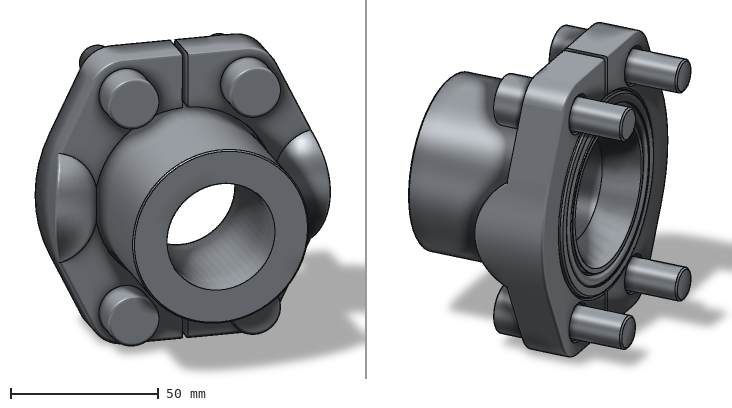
import cadquery as cq
import math


clamp_height = 102.0
clamp_width = 97.0
clamp_thickness = 16.0
clamp_gap = 1.9
edge_round = 1.0
bolt_y = 21.4
bolt_z = 38.9
side_radius = clamp_width / 2
corner_radius = clamp_height / 2 - bolt_z
hub_hole_radius = 63.8 / 2
seat_radius = 36.1
seat_depth = 9.1
seat_chamfer = 0.6

lobe_top = 26.1
lobe_radius = 24.5
lobe_end_round = 18.4
lobe_round_start = 46.9
lobe_axis_x = lobe_top - lobe_radius
lobe_root_sink = 1.7

bolt_diameter = 11.7
bolt_tip_x = -19.0
bolt_tip_chamfer = 0.6
head_diameter = 18.0
head_height = 11.8
head_edge_round = 1.0
bolt_hole_diameter = 13.0
bolt_hole_chamfer = 0.6

hub_front_x = -0.8
hub_end_x = 59.5
hub_radius = 62.0 / 2
hub_end_chamfer = 0.5
flange_radius = 71.4 / 2
flange_chamfer = 0.7
neck_round = 0.6
bore_radius = 38.0 / 2
mouth_radius = 50.7 / 2
mouth_depth = 11.5
groove_inner_radius = 54.9 / 2
groove_outer_radius = 63.8 / 2
face_edge_chamfer = 0.2

ring_section_radius = 1.8
ring_crown_x = -1.1


def clamp_outline():
    """Outline in the YZ plane: flat ends, rounded corners and bowed sides, every joint tangent."""
    corner_distance = math.hypot(bolt_y, bolt_z)
    slope = math.atan2(bolt_z, bolt_y) - math.acos((side_radius - corner_radius) / corner_distance)
    slope_y, slope_z = math.cos(slope), math.sin(slope)
    corner_mid = (slope + math.pi / 2) / 2

    side = (side_radius * slope_y, side_radius * slope_z)
    corner = (bolt_y + corner_radius * slope_y, bolt_z + corner_radius * slope_z)
    middle = (bolt_y + corner_radius * math.cos(corner_mid), bolt_z + corner_radius * math.sin(corner_mid))
    top = clamp_height / 2
    return (
        cq.Workplane("YZ")
        .moveTo(side[0], -side[1])
        .threePointArc((side_radius, 0), side)
        .lineTo(*corner)
        .threePointArc(middle, (bolt_y, top))
        .lineTo(-bolt_y, top)
        .threePointArc((-middle[0], middle[1]), (-corner[0], corner[1]))
        .lineTo(-side[0], side[1])
        .threePointArc((-side_radius, 0), (-side[0], -side[1]))
        .lineTo(-corner[0], -corner[1])
        .threePointArc((-middle[0], -middle[1]), (-bolt_y, -top))
        .lineTo(bolt_y, -top)
        .threePointArc((middle[0], -middle[1]), (corner[0], -corner[1]))
        .close()
    )


def x_cylinder(radius, start, end):
    return cq.Workplane("YZ", origin=(start, 0, 0)).circle(radius).extrude(end - start)


def box_from(corner, size):
    """Box spanning size from its lowest corner."""
    return cq.Workplane("XY").box(*size, centered=False).translate(corner)


def lobe():
    """Lobe on the +Y side: a drum along Y with a round inner end, trimmed to the clamp outline."""
    outer_y = side_radius + edge_round
    inner_y = lobe_round_start - lobe_end_round
    round_centre_x = lobe_top - lobe_end_round
    diagonal = lobe_end_round * math.sqrt(0.5)
    drum = (
        cq.Workplane("XY")
        .moveTo(lobe_axis_x, outer_y)
        .lineTo(lobe_top, outer_y)
        .lineTo(lobe_top, lobe_round_start)
        .threePointArc((round_centre_x + diagonal, lobe_round_start - diagonal), (round_centre_x, inner_y))
        .lineTo(lobe_axis_x, inner_y)
        .close()
        .revolve(360, (lobe_axis_x, 0, 0), (lobe_axis_x, 1, 0))
    )
    root_x = clamp_thickness - lobe_root_sink
    trim = clamp_outline().extrude(lobe_top).translate((root_x, 0, 0))
    trimmed = drum.intersect(trim)
    rim = [
        edge
        for edge in trimmed.edges().vals()
        if edge.geomType() == "BSPLINE" and edge.Center().x > root_x + edge_round
    ]
    return trimmed.newObject(rim).fillet(edge_round)


def clamp_half():
    """The half on the +Y side: plate and lobe, cut by the hub's seat and the bolt holes."""
    plate = clamp_outline().extrude(clamp_thickness).faces("<X or >X").edges().fillet(edge_round)
    body = plate.union(lobe())

    mouth = seat_radius + seat_chamfer
    stepped_hole = (
        cq.Workplane("XY")
        .moveTo(0, 0)
        .lineTo(0, mouth)
        .lineTo(seat_chamfer, seat_radius)
        .lineTo(seat_depth, seat_radius)
        .lineTo(seat_depth, hub_hole_radius)
        .lineTo(hub_end_x, hub_hole_radius)
        .lineTo(hub_end_x, 0)
        .close()
        .revolve(360, (0, 0, 0), (1, 0, 0))
    )
    body = body.cut(stepped_hole)

    hole_radius = bolt_hole_diameter / 2
    for z in (-bolt_z, bolt_z):
        hole = x_cylinder(hole_radius, 0, clamp_thickness)
        mouth_cone = cq.Solid.makeCone(
            hole_radius + bolt_hole_chamfer, hole_radius, bolt_hole_chamfer, dir=cq.Vector(1, 0, 0)
        )
        body = body.cut(hole.union(cq.Workplane(mouth_cone)).translate((0, bolt_y, z)))

    kept_side = box_from((0, clamp_gap / 2, -clamp_height), (clamp_height, clamp_height, 2 * clamp_height))
    return body.intersect(kept_side)


def bolt():
    """Bolt along X with its head against the back of the clamp."""
    shank = x_cylinder(bolt_diameter / 2, bolt_tip_x, clamp_thickness).faces("<X").chamfer(bolt_tip_chamfer)
    head = x_cylinder(head_diameter / 2, clamp_thickness, clamp_thickness + head_height)
    return shank.union(head.faces(">X").edges().fillet(head_edge_round))


def hub():
    """Tube with a front flange, a ring groove in its face and a tapering mouth, turned in one piece."""
    front, back = hub_front_x, hub_end_x
    groove_floor_x = ring_crown_x + 2 * ring_section_radius
    edge = face_edge_chamfer
    neck_arc_sag = neck_round * (1 - math.sqrt(0.5))
    profile = (
        cq.Workplane("XY")
        .moveTo(back, bore_radius)
        .lineTo(front + mouth_depth, bore_radius)
        .lineTo(front + edge, mouth_radius)
        .lineTo(front, mouth_radius + edge)
        .lineTo(front, groove_inner_radius - edge)
        .lineTo(front + edge, groove_inner_radius)
        .lineTo(groove_floor_x, groove_inner_radius)
        .lineTo(groove_floor_x, groove_outer_radius)
        .lineTo(front + edge, groove_outer_radius)
        .lineTo(front, groove_outer_radius + edge)
        .lineTo(front, flange_radius - flange_chamfer)
        .lineTo(front + flange_chamfer, flange_radius)
        .lineTo(seat_depth - flange_chamfer, flange_radius)
        .lineTo(seat_depth, flange_radius - flange_chamfer)
        .lineTo(seat_depth, hub_radius + neck_round)
        .threePointArc(
            (seat_depth + neck_arc_sag, hub_radius + neck_arc_sag), (seat_depth + neck_round, hub_radius)
        )
        .lineTo(back - hub_end_chamfer, hub_radius)
        .lineTo(back, hub_radius - hub_end_chamfer)
        .close()
    )
    return profile.revolve(360, (0, 0, 0), (1, 0, 0))


def sealing_ring():
    """Round-section ring lying against the outer wall of the hub's groove."""
    ring_radius = groove_outer_radius - ring_section_radius
    section = (
        cq.Workplane("XY")
        .moveTo(ring_crown_x + ring_section_radius, ring_radius)
        .circle(ring_section_radius)
    )
    return section.revolve(360, (0, 0, 0), (1, 0, 0))


clamp_halves = [clamp_half().rotate((0, 0, 0), (1, 0, 0), turn) for turn in (0, 180)]
bolts = [bolt().translate((0, y, z)) for y in (-bolt_y, bolt_y) for z in (-bolt_z, bolt_z)]

result = cq.Compound.makeCompound(
    [half.val() for half in clamp_halves]
    + [one_bolt.val() for one_bolt in bolts]
    + [hub().val(), sealing_ring().val()]
)